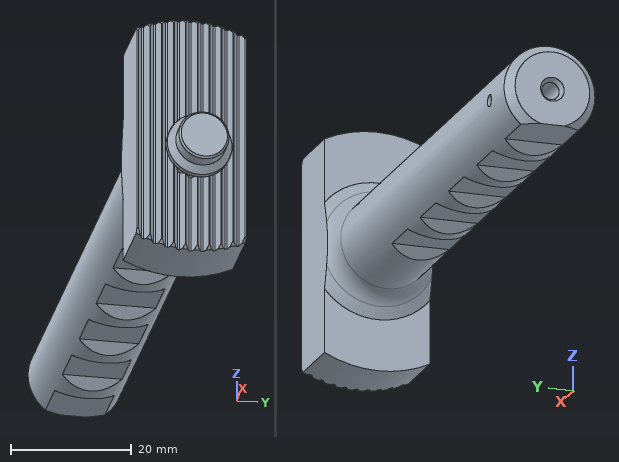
import cadquery as cq
import math

OVERALL_LENGTH = 112.2

SHANK_DIAMETER = 16.0
SHANK_CHAMFER = 1.5
CENTRE_HOLE_DIAMETER = 3.0
COUNTERSINK_DIAMETER = 4.2
CENTRE_HOLE_DEPTH = 9.0
DRILL_POINT_ANGLE = 118.0
CROSS_HOLE_DIAMETER = 2.0
CROSS_HOLE_TIP_Y = 0.2
CROSS_HOLE_POINT_ANGLE = 90.0
COUNTERSINK_ANGLE = 60.0

FLAT_DEPTH = 1.8
RIB_COUNT = 4
RIB_PITCH = 14.5
RIB_CREST_WIDTH = 3.0
FIRST_RIB_CENTRE = 12.8

HEAD_DIAMETER = 42.0
HEAD_WIDTH = 18.6
HEAD_BACK_X = 89.6
HEAD_FRONT_X = 101.4
HEAD_CHAMFER = 0.7

NECK_DIAMETER = 24.0
NECK_FILLET_RADIUS = 4.0
NECK_CONE_ANGLE = 60.0

GROOVE_COUNT = 9
GROOVE_PITCH = 2.0
GROOVE_DEPTH = 1.3
GROOVE_ROOT_WIDTH = 0.3
GROOVE_ANGLE = 60.0

PIN_DROP = 5.0
PIN_DIAMETER = 5.0
PIN_INSERTION = 9.0
PIN_FILLET_RADIUS = 0.2
COLLAR_DIAMETER = 11.0
COLLAR_BACK_X = 107.2
COLLAR_RIM_WIDTH = 1.0
CAP_DIAMETER = 8.5
CAP_START_X = 109.3
CAP_CHAMFER = 0.3

SHANK_RADIUS = SHANK_DIAMETER / 2
HEAD_RADIUS = HEAD_DIAMETER / 2
PIN_TIP_X = HEAD_FRONT_X - PIN_INSERTION


def revolve_about_x(profile):
    """Turn a closed profile, drawn as (x, radius) on the XY plane, about the X axis."""
    return profile.close().revolve(360, (0, 0, 0), (1, 0, 0))


def turned_blank():
    """Shank, neck and round head as one turned shape."""
    cone_angle = math.radians(NECK_CONE_ANGLE)
    neck_radius = NECK_DIAMETER / 2
    arc_end_radius = SHANK_RADIUS + NECK_FILLET_RADIUS * (1 - math.cos(cone_angle))
    arc_end_x = HEAD_BACK_X - (neck_radius - arc_end_radius) / math.tan(cone_angle)
    arc_start_x = arc_end_x - NECK_FILLET_RADIUS * math.sin(cone_angle)
    profile = (
        cq.Workplane("XY")
        .lineTo(0, SHANK_RADIUS - SHANK_CHAMFER)
        .lineTo(SHANK_CHAMFER, SHANK_RADIUS)
        .lineTo(arc_start_x, SHANK_RADIUS)
        .tangentArcPoint((arc_end_x, arc_end_radius), relative=False)
        .lineTo(HEAD_BACK_X, neck_radius)
        .lineTo(HEAD_BACK_X, HEAD_RADIUS)
        .lineTo(HEAD_FRONT_X - HEAD_CHAMFER, HEAD_RADIUS)
        .lineTo(HEAD_FRONT_X, HEAD_RADIUS - HEAD_CHAMFER)
        .lineTo(HEAD_FRONT_X, 0)
    )
    return revolve_about_x(profile)


def side_flats():
    """Slab between the two parallel sides of the head."""
    return cq.Workplane("XY").box(
        HEAD_FRONT_X, HEAD_WIDTH, HEAD_DIAMETER, centered=(False, True, True)
    )


def centre_hole():
    """Countersunk hole with a drill point, in the free end of the shank."""
    hole_radius = CENTRE_HOLE_DIAMETER / 2
    countersink_radius = COUNTERSINK_DIAMETER / 2
    countersink_depth = (countersink_radius - hole_radius) / math.tan(math.radians(COUNTERSINK_ANGLE / 2))
    point_length = hole_radius / math.tan(math.radians(DRILL_POINT_ANGLE / 2))
    profile = (
        cq.Workplane("XY")
        .lineTo(0, countersink_radius)
        .lineTo(countersink_depth, hole_radius)
        .lineTo(CENTRE_HOLE_DEPTH, hole_radius)
        .lineTo(CENTRE_HOLE_DEPTH + point_length, 0)
    )
    return revolve_about_x(profile)


def cross_hole():
    """Pointed hole drilled from the +Y side of the shank into the bottom of the centre hole."""
    hole_radius = CROSS_HOLE_DIAMETER / 2
    point_length = hole_radius / math.tan(math.radians(CROSS_HOLE_POINT_ANGLE / 2))
    hole_x = CENTRE_HOLE_DEPTH
    return (
        cq.Workplane("XY")
        .moveTo(hole_x, CROSS_HOLE_TIP_Y)
        .lineTo(hole_x + hole_radius, CROSS_HOLE_TIP_Y + point_length)
        .lineTo(hole_x + hole_radius, SHANK_RADIUS)
        .lineTo(hole_x, SHANK_RADIUS)
        .close()
        .revolve(360, (hole_x, 0, 0), (hole_x, 1, 0))
    )


def underside_gap(start_crest_x, end_crest_x):
    """Flat-bottomed gap with 45-degree ends, open at the underside of the shank."""
    crest_z = -SHANK_RADIUS
    floor_z = crest_z + FLAT_DEPTH
    return (
        cq.Workplane("XZ")
        .moveTo(start_crest_x, crest_z)
        .lineTo(start_crest_x + FLAT_DEPTH, floor_z)
        .lineTo(end_crest_x - FLAT_DEPTH, floor_z)
        .lineTo(end_crest_x, crest_z)
        .close()
        .extrude(SHANK_RADIUS, both=True)
    )


def underside_gaps():
    """All the gaps: one before each rib and one after the last rib."""
    gap_length = RIB_PITCH - RIB_CREST_WIDTH
    first_gap_end = FIRST_RIB_CENTRE - RIB_CREST_WIDTH / 2
    gaps = underside_gap(-FLAT_DEPTH, first_gap_end)
    for index in range(1, RIB_COUNT + 1):
        gap_end = first_gap_end + index * RIB_PITCH
        gaps = gaps.add(underside_gap(gap_end - gap_length, gap_end))
    return gaps


def face_grooves():
    """Parallel V-grooves in the front face of the head."""
    half_root = GROOVE_ROOT_WIDTH / 2
    half_width = half_root + GROOVE_DEPTH * math.tan(math.radians(GROOVE_ANGLE / 2))
    first_y = -GROOVE_PITCH * (GROOVE_COUNT - 1) / 2
    grooves = cq.Workplane("XY")
    for index in range(GROOVE_COUNT):
        groove_y = first_y + index * GROOVE_PITCH
        groove = (
            cq.Workplane("XY")
            .moveTo(HEAD_FRONT_X, groove_y - half_width)
            .lineTo(HEAD_FRONT_X - GROOVE_DEPTH, groove_y - half_root)
            .lineTo(HEAD_FRONT_X - GROOVE_DEPTH, groove_y + half_root)
            .lineTo(HEAD_FRONT_X, groove_y + half_width)
            .close()
            .extrude(HEAD_RADIUS, both=True)
        )
        grooves = grooves.add(groove)
    return grooves


def pin_hole():
    """Blind hole in the head that holds the pin."""
    return (
        cq.Workplane("YZ", origin=(PIN_TIP_X, 0, -PIN_DROP))
        .circle(PIN_DIAMETER / 2)
        .extrude(PIN_INSERTION)
    )


def make_shank():
    """Shank and head body."""
    shank = turned_blank().intersect(side_flats()).cut(centre_hole()).cut(cross_hole())
    for cutter in underside_gaps().vals() + face_grooves().vals():
        shank = shank.cut(cq.Workplane(cutter))
    return shank.cut(pin_hole())


def make_pin():
    """Pin with a collar and a chamfered cap, turned about its own axis."""
    pin_radius = PIN_DIAMETER / 2
    collar_radius = COLLAR_DIAMETER / 2
    cap_radius = CAP_DIAMETER / 2
    profile = (
        cq.Workplane("XY")
        .moveTo(PIN_TIP_X, 0)
        .lineTo(PIN_TIP_X, pin_radius)
        .lineTo(COLLAR_BACK_X - PIN_FILLET_RADIUS, pin_radius)
        .tangentArcPoint((COLLAR_BACK_X, pin_radius + PIN_FILLET_RADIUS), relative=False)
        .lineTo(COLLAR_BACK_X, collar_radius)
        .lineTo(COLLAR_BACK_X + COLLAR_RIM_WIDTH, collar_radius)
        .lineTo(CAP_START_X, cap_radius)
        .lineTo(OVERALL_LENGTH - CAP_CHAMFER, cap_radius)
        .lineTo(OVERALL_LENGTH, cap_radius - CAP_CHAMFER)
        .lineTo(OVERALL_LENGTH, 0)
    )
    return revolve_about_x(profile).translate((0, 0, -PIN_DROP))


shank = make_shank()
pin = make_pin()

result = cq.Compound.makeCompound([shank.solids().val(), pin.solids().val()])